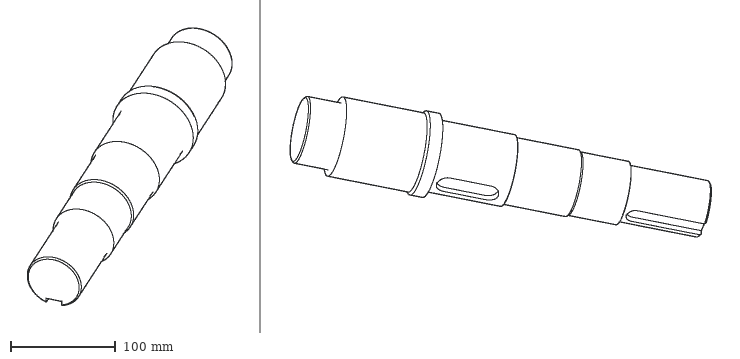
import cadquery as cq
import math

LENGTH = 402.0
FRONT_Y = -LENGTH / 2

DRIVE_DIA = 55.0
SEAL_DIA = 62.0
BEARING_DIA = 65.0
GEAR_DIA = 70.0
COLLAR_DIA = 82.0
BODY_DIA = 77.0
REAR_DIA = 65.0

DRIVE_END = 81.2
SEAL_END = 131.0
BEARING_END = 195.0
GEAR_END = 271.5
COLLAR_END = 286.2
BODY_END = 366.2

END_CHAMFER = 1.5
SEAL_TAPER = 2.0
STEP_FILLET = 1.2
COLLAR_FILLET = 2.0

KEY_DEPTH = 7.0
DRIVE_KEY_WIDTH = 16.0
DRIVE_KEY_END = 76.8
GEAR_KEY_WIDTH = 20.0
GEAR_KEY_START = 204.2
GEAR_KEY_END = 265.5


def step(diameter, start, end):
    """Plain cylinder between two distances from the front end."""
    plane = cq.Plane(origin=(0, FRONT_Y + start, 0), xDir=(1, 0, 0), normal=(0, 1, 0))
    return cq.Workplane(plane).circle(diameter / 2).extrude(end - start)


def revolved(profile):
    """Turn a closed half profile in the XY plane around the shaft axis."""
    return profile.close().revolve(360, (0, 0), (0, 1))


def foot_fillet(diameter, shoulder, size, direction):
    """Ring with a concave quarter round, where a step meets a shoulder.

    The direction is +1 when the step lies behind the shoulder and -1 when it lies in front.
    """
    radius = diameter / 2
    shoulder_y = FRONT_Y + shoulder
    inset = size * (1 - math.sqrt(0.5))
    profile = (
        cq.Workplane("XY")
        .moveTo(0, shoulder_y)
        .lineTo(radius + size, shoulder_y)
        .threePointArc(
            (radius + inset, shoulder_y + direction * inset),
            (radius, shoulder_y + direction * size),
        )
        .lineTo(0, shoulder_y + direction * size)
    )
    return revolved(profile)


def seal_taper():
    """Cone leading from the seal step up to the bearing step."""
    profile = cq.Workplane("XY").polyline([
        (0, FRONT_Y + SEAL_END - SEAL_TAPER),
        (SEAL_DIA / 2, FRONT_Y + SEAL_END - SEAL_TAPER),
        (BEARING_DIA / 2, FRONT_Y + SEAL_END),
        (0, FRONT_Y + SEAL_END),
    ])
    return revolved(profile)


def shaft():
    """Stack the steps, then add the fillets and the taper between them."""
    collar_chamfer = (COLLAR_DIA - BODY_DIA) / 2
    body = (
        step(DRIVE_DIA, 0, DRIVE_END).faces("<Y").chamfer(END_CHAMFER)
        .union(step(SEAL_DIA, DRIVE_END, SEAL_END))
        .union(step(BEARING_DIA, SEAL_END, BEARING_END))
        .union(step(GEAR_DIA, BEARING_END, GEAR_END))
        .union(step(COLLAR_DIA, GEAR_END, COLLAR_END).faces(">Y").chamfer(collar_chamfer))
        .union(step(BODY_DIA, COLLAR_END, BODY_END))
        .union(step(REAR_DIA, BODY_END, LENGTH).faces(">Y").chamfer(END_CHAMFER))
    )
    return (
        body.union(seal_taper())
        .union(foot_fillet(DRIVE_DIA, DRIVE_END, STEP_FILLET, -1))
        .union(foot_fillet(BEARING_DIA, BEARING_END, STEP_FILLET, -1))
        .union(foot_fillet(GEAR_DIA, GEAR_END, COLLAR_FILLET, -1))
        .union(foot_fillet(REAR_DIA, BODY_END, STEP_FILLET, 1))
    )


def keyway(diameter, width, start, end):
    """Round-ended slot in the underside of a step, from start to end along the shaft."""
    length = end - start
    middle_y = FRONT_Y + (start + end) / 2
    floor_z = KEY_DEPTH - diameter / 2
    return (
        cq.Workplane("XY", origin=(0, middle_y, floor_z))
        .slot2D(length, width, 90)
        .extrude(-2 * KEY_DEPTH)
    )


drive_keyway = keyway(DRIVE_DIA, DRIVE_KEY_WIDTH, -DRIVE_KEY_WIDTH, DRIVE_KEY_END)
gear_keyway = keyway(GEAR_DIA, GEAR_KEY_WIDTH, GEAR_KEY_START, GEAR_KEY_END)

result = shaft().cut(drive_keyway).cut(gear_keyway)